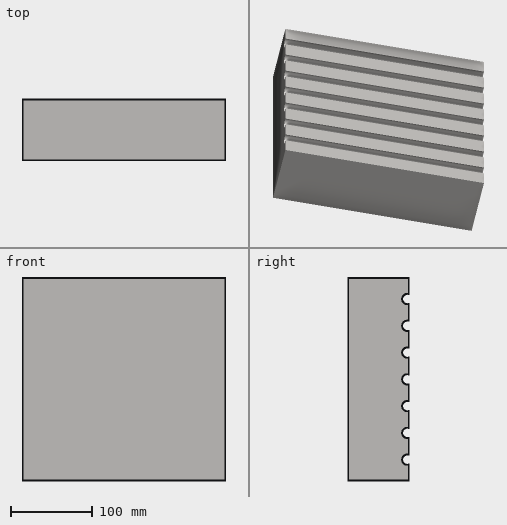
import cadquery as cq

side = 250.0
thickness = 75.0

groove_count = 7
groove_pitch = 33.0
groove_radius = 6.2
groove_axis_depth = 2.0


def make_block():
    return cq.Workplane("XY").box(side, thickness, side)


def make_grooves():
    axis_y = thickness / 2 - groove_axis_depth
    middle = (groove_count - 1) / 2
    centres = [(axis_y, (i - middle) * groove_pitch) for i in range(groove_count)]
    return (
        cq.Workplane("YZ")
        .pushPoints(centres)
        .circle(groove_radius)
        .extrude(side, both=True)
    )


result = make_block().cut(make_grooves())